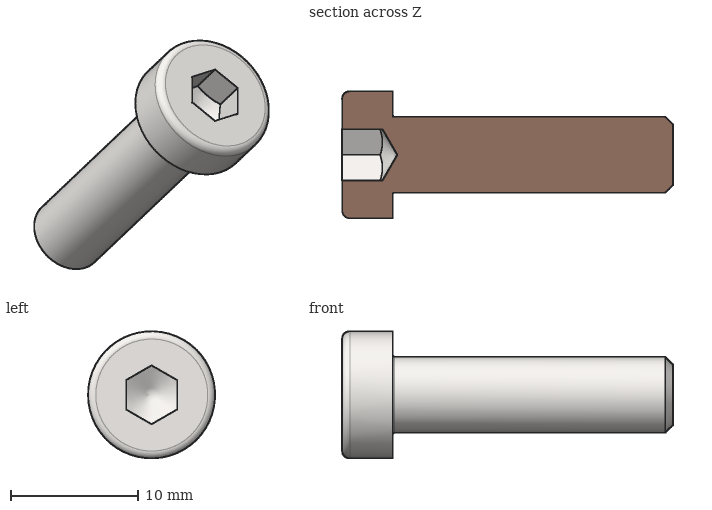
import cadquery as cq
import math

thread_diameter = 6.0
thread_pitch = 1.0
shank_length = 22.0
head_diameter = 10.0
head_height = 4.0
head_edge_radius = 0.6
underhead_fillet_radius = 0.1

socket_across_flats = 4.0
socket_depth = 3.0
socket_cone_angle = 120.0

root_depth_per_pitch = 0.6134
tip_chamfer = root_depth_per_pitch * thread_pitch

head_radius = head_diameter / 2
shank_radius = thread_diameter / 2
socket_corner_radius = socket_across_flats / 2 / math.cos(math.radians(30))
socket_cone_height = socket_corner_radius / math.tan(math.radians(socket_cone_angle / 2))

total_length = head_height + shank_length
socket_tip = socket_depth + socket_cone_height


def revolve_about_x(outline):
    """Turn a closed half profile into a solid of revolution about the X axis."""
    return outline.revolve(360, (0, 0, 0), (1, 0, 0))


def make_body():
    """Head with a rounded rim, small underhead fillet and chamfered shank."""
    outline = (
        cq.Workplane("XY")
        .lineTo(0, head_radius - head_edge_radius)
        .radiusArc((head_edge_radius, head_radius), head_edge_radius)
        .lineTo(head_height, head_radius)
        .lineTo(head_height, shank_radius + underhead_fillet_radius)
        .radiusArc((head_height + underhead_fillet_radius, shank_radius), -underhead_fillet_radius)
        .lineTo(total_length - tip_chamfer, shank_radius)
        .lineTo(total_length, shank_radius - tip_chamfer)
        .lineTo(total_length, 0)
        .close()
    )
    return revolve_about_x(outline)


def make_socket():
    """Hexagonal prism with corners toward +Z and -Z, ending in a cone."""
    hexagon = (
        cq.Workplane("YZ")
        .transformed(rotate=(0, 0, 90))
        .polygon(6, 2 * socket_corner_radius)
        .extrude(socket_tip)
    )
    pointed_cylinder = revolve_about_x(
        cq.Workplane("XY")
        .lineTo(0, socket_corner_radius)
        .lineTo(socket_depth, socket_corner_radius)
        .lineTo(socket_tip, 0)
        .close()
    )
    return hexagon.intersect(pointed_cylinder)


result = make_body().cut(make_socket())